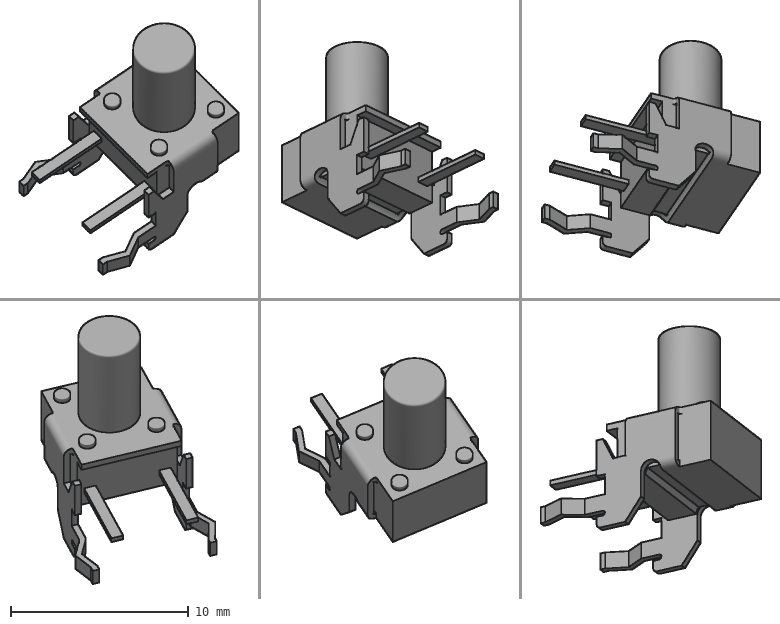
import cadquery as cq


sheet = 0.4
housing_width = 6.01
housing_depth = 5.98
height = 3.67
plate_overhang = 0.69
half_width = housing_width / 2
half_depth = housing_depth / 2
front_tip_y = -7.53

button_diameter = 3.51
button_height = 5.76
button_round = 0.12
rivet_diameter = 0.94
rivet_height = 0.3
rivet_round = 0.04
rivet_offset = 2.08

pin_offset = 2.25
pin_width = 0.7
pin_thickness = 0.3
pin_bottom_z = 0.9

wall_outer_x = 3.53
wall_inner_x = wall_outer_x - sheet
bend_radius = 0.5
strip_back_y = 1.0
strip_front_y = -2.2
corner_relief = wall_inner_x - half_width

notch_y = -0.6
notch_radius = 0.58

shoulder_z = 1.2
hook_top_z = 2.55
hook_tip_width = sheet
leg_front_y = -4.04
waist_y = -3.51
waist_top_z = 0.32
leg_back_y = notch_y - notch_radius
leg_bend_z = -1.58
overall_height = 12.36
foot_bottom_z = height + button_height - overall_height
foot_round = 0.25
foot_slot_height = 0.31

arm_top_z = -0.91
arm_height = 1.0
arm_bottom_z = arm_top_z - arm_height
arm_bend_y = -4.8
arm_peak_x = 4.2
arm_peak_y = -5.96
arm_end_x = 3.72
arm_end_y = -7.22


def block(x_range, y_range, z_range):
    """Box spanning the given (low, high) ranges."""
    size = [high - low for low, high in (x_range, y_range, z_range)]
    corner = (x_range[0], y_range[0], z_range[0])
    return cq.Workplane("XY").box(*size, centered=False).translate(corner)


def notch_cylinder():
    """Cylinder along X that forms the bottom notch."""
    return (
        cq.Workplane("YZ")
        .center(notch_y, 0)
        .circle(notch_radius)
        .extrude(wall_outer_x, both=True)
    )


def make_housing():
    housing = block((-half_width, half_width), (-half_depth, half_depth), (0, height))
    overhang = block(
        (-half_width, half_width),
        (-half_depth - plate_overhang, -half_depth),
        (height - sheet, height),
    )
    channel = notch_cylinder().intersect(
        block((-half_width, half_width), (-half_depth, half_depth), (0, sheet))
    )
    return housing.union(overhang).cut(channel)


def make_button():
    return (
        cq.Workplane("XY", origin=(0, 0, height))
        .circle(button_diameter / 2)
        .extrude(button_height)
        .faces(">Z")
        .edges()
        .fillet(button_round)
    )


def make_rivets():
    return (
        cq.Workplane("XY", origin=(0, 0, height))
        .rect(2 * rivet_offset, 2 * rivet_offset, forConstruction=True)
        .vertices()
        .circle(rivet_diameter / 2)
        .extrude(rivet_height)
        .faces(">Z")
        .edges()
        .fillet(rivet_round)
    )


def make_pin(side):
    center_x = side * pin_offset
    return block(
        (center_x - pin_width / 2, center_x + pin_width / 2),
        (front_tip_y, -half_depth),
        (pin_bottom_z, pin_bottom_z + pin_thickness),
    )


def make_strip():
    """Closed sheet loop; its bottom exists only behind the notch."""
    strip_range = (strip_front_y, strip_back_y)
    outside = block((-wall_outer_x, wall_outer_x), strip_range, (0, height))
    inside = block((-wall_inner_x, wall_inner_x), strip_range, (sheet, height - sheet))
    loop = outside.edges("|Y").fillet(bend_radius).cut(inside)
    open_front = block(
        (-wall_outer_x, wall_outer_x), (strip_front_y, notch_y), (0, shoulder_z)
    )
    return loop.cut(open_front)


def make_corner_relief(strip_edge_y, outward):
    """Concave fillet where the cover plate edge meets an edge of the +X strip."""
    far_y = strip_edge_y + outward * corner_relief
    base_z = height - sheet
    corner = block(
        (half_width, wall_inner_x), sorted((strip_edge_y, far_y)), (base_z, height)
    )
    hollow = (
        cq.Workplane("XY", origin=(wall_inner_x, far_y, base_z))
        .circle(corner_relief)
        .extrude(sheet)
    )
    return corner.cut(hollow)


def make_arm():
    """Snap arm on the +X side: a sheet zigzag of constant width along X."""
    outer_edge = [
        (wall_outer_x, waist_y),
        (wall_outer_x, arm_bend_y),
        (arm_peak_x, arm_peak_y),
        (arm_end_x, arm_end_y),
        (arm_end_x, front_tip_y),
    ]
    inner_edge = [(x - sheet, y) for x, y in reversed(outer_edge)]
    return (
        cq.Workplane("XY", origin=(0, 0, arm_bottom_z))
        .polyline(outer_edge + inner_edge)
        .close()
        .extrude(arm_height)
    )


def make_leg():
    """Mounting leg on the +X side with its hook, snap arm and foot slot."""
    outline = [
        (notch_y, shoulder_z),
        (-half_depth, shoulder_z),
        (leg_front_y + hook_tip_width, hook_top_z),
        (leg_front_y, hook_top_z),
        (leg_front_y, waist_top_z),
        (waist_y, waist_top_z),
        (waist_y, arm_top_z),
        (leg_front_y, arm_top_z),
        (leg_front_y, foot_bottom_z),
        (strip_front_y, foot_bottom_z),
        (leg_back_y, leg_bend_z),
        (leg_back_y, 0),
        (notch_y, 0),
    ]
    leg = (
        cq.Workplane("YZ", origin=(wall_inner_x, 0, 0))
        .polyline(outline)
        .close()
        .extrude(sheet)
    )
    front_foot_corner = cq.selectors.NearestToPointSelector(
        (wall_inner_x + sheet / 2, leg_front_y, foot_bottom_z)
    )
    leg = leg.edges("|X").edges(front_foot_corner).fillet(foot_round)

    slot_length = 2 * (waist_y - leg_front_y)
    foot_slot = (
        cq.Workplane("YZ", origin=(wall_inner_x, 0, 0))
        .center(leg_front_y, arm_bottom_z - foot_slot_height / 2)
        .slot2D(slot_length, foot_slot_height)
        .extrude(sheet)
    )
    return leg.union(make_arm()).cut(foot_slot)


def both_sides(shape):
    """The +X shape together with its mirror image on the -X side."""
    return shape.union(shape.mirror("YZ"))


bracket = make_strip().union(both_sides(make_leg())).cut(notch_cylinder())
for edge_y, outward in ((strip_back_y, 1), (strip_front_y, -1)):
    bracket = bracket.union(both_sides(make_corner_relief(edge_y, outward)))

result = make_housing().union(bracket).union(make_button()).union(make_rivets())
for side in (-1, 1):
    result = result.union(make_pin(side))